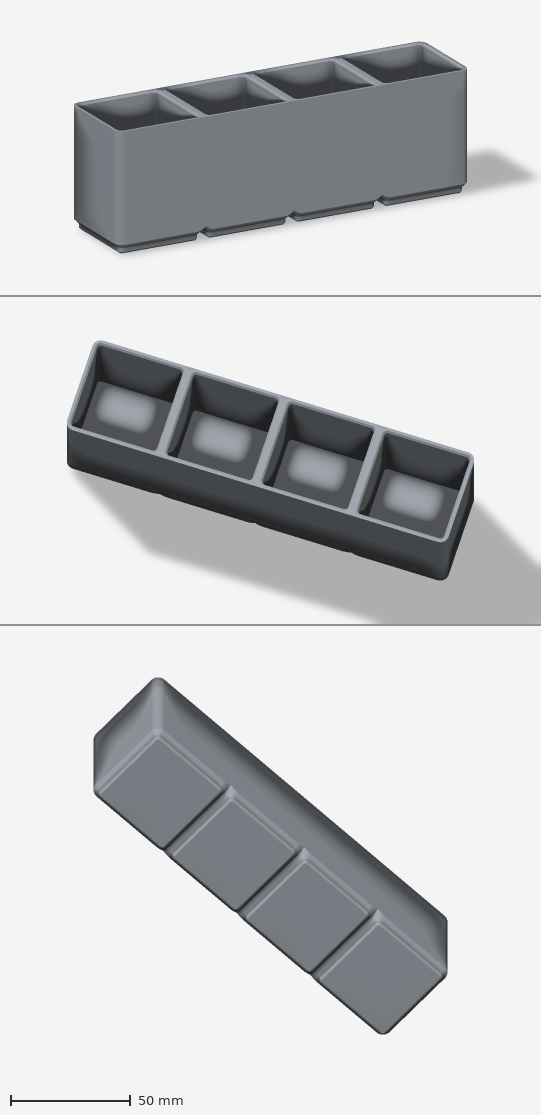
import cadquery as cq
import math

cell_count = 4
width = 41.5
length = 167.5
height = 55.0
pitch = (length - width) / (cell_count - 1)

chamfer_angle = 45
bottom_corner_radius = 0.8
bottom_chamfer = 0.8
foot_top = 4.7
bottom_width = 35.7

wall = 2.0
rim_chamfer = 0.8
pocket_corner_radius = 1.5
floor_top = 7.0

band_width = bottom_width + 2 * bottom_chamfer
top_chamfer = (width - band_width) / 2
band_radius = bottom_corner_radius + bottom_chamfer
corner_radius = band_radius + top_chamfer
band_top = foot_top - top_chamfer
pocket_width = width - 2 * wall

corner_to_gap_middle = pitch / 2 - (width / 2 - corner_radius)
arch_rise = math.hypot(corner_radius, corner_to_gap_middle) - corner_radius
arch_top = foot_top + arch_rise

cell_centres = [(index - (cell_count - 1) / 2) * pitch for index in range(cell_count)]


def rounded_block(size_x, size_y, radius, base, top, centre_y=0.0, flare=0.0):
    """Block with rounded corners; flare is the outward lean of its walls in degrees."""
    outline = cq.Sketch().rect(size_x, size_y).vertices().fillet(radius)
    plane = cq.Workplane("XY", origin=(0, centre_y, base))
    return plane.placeSketch(outline).extrude(top - base, taper=-flare)


def cell_block(size, radius, base, top, centre_y, flare=0.0):
    """Rounded square block on the centre of one cell."""
    return rounded_block(size, size, radius, base, top, centre_y, flare)


def foot(centre_y):
    """Foot of one cell, with its wide chamfer continued up to the top of the arches."""
    tip = cell_block(bottom_width, bottom_corner_radius, 0, bottom_chamfer, centre_y, chamfer_angle)
    band = cell_block(band_width, band_radius, bottom_chamfer, band_top, centre_y)
    flared = cell_block(band_width, band_radius, band_top, arch_top, centre_y, chamfer_angle)
    return tip.union(band).union(flared)


def pocket(centre_y):
    """Straight compartment with a chamfered rim."""
    rim_bottom = height - rim_chamfer
    well = cell_block(pocket_width, pocket_corner_radius, floor_top, height, centre_y)
    rim = cell_block(pocket_width, pocket_corner_radius, rim_bottom, height, centre_y, chamfer_angle)
    return well.union(rim)


result = rounded_block(width, length, corner_radius, arch_top, height)

envelope = rounded_block(width, length, corner_radius, 0, height)
for centre in cell_centres:
    result = result.union(foot(centre).intersect(envelope))

for centre in cell_centres:
    result = result.cut(pocket(centre))